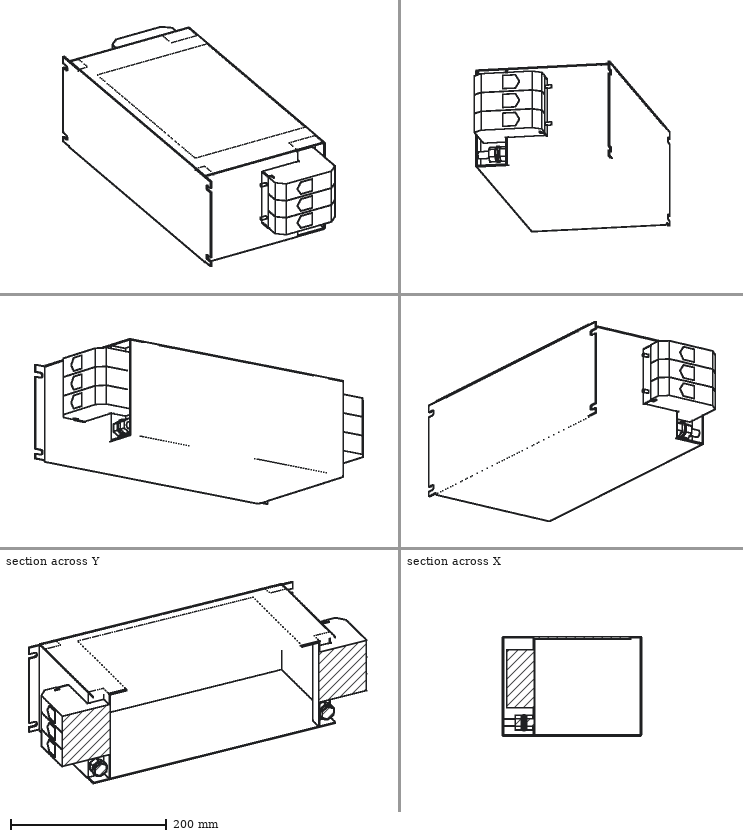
import cadquery as cq

LENGTH = 439.5
DEPTH = 180.0
HEIGHT = 129.0
SHEET = 2.0

CASING_LENGTH = 349.0
CASING_BEND = 2.5
LID_THICKNESS = 1.5
LID_UNDERSIDE = HEIGHT - LID_THICKNESS
LID_SETBACK = 1.0

PANEL_LENGTH = 380.5
SLOT_WIDTH = 6.5
SLOT_DEPTH = 11.5
SLOT_HEIGHTS = (12.5, 114.7)
FOLD_HALF_LENGTH = 151.0
FOLD_RADIUS = 1.8

WALL_OVERHANG = 1.5
WALL_OUTER = CASING_LENGTH / 2 + WALL_OVERHANG
WALL_STEP_Y = 140.2
WALL_BEND = 4.0
POCKET_WALL = 152.0

FLANGE_INNER_X = 126.5
FLANGE_DEPTH = 14.0

BLOCK_FRONT = 85.0
BLOCK_BACK = 174.0
BLOCK_BOTTOM = 37.0
TERMINAL_HEIGHT = 25.0
TERMINAL_COUNT = 3
BLOCK_HEIGHT = TERMINAL_COUNT * TERMINAL_HEIGHT
BLOCK_CHAMFER_X = 9.5
BLOCK_CHAMFER_Y = 11.0
SEAM = 0.2

ENTRY_BACK = 134.5
ENTRY_SHOULDER = 118.0
ENTRY_TIP = 112.5
ENTRY_HEIGHT = 17.5
ENTRY_DEPTH = 0.5

BRACKET_SHEET = 1.5
BRACKET_BOTTOM = BLOCK_BOTTOM - 1.0
BRACKET_TOP = BLOCK_BOTTOM + BLOCK_HEIGHT - 0.5
BRACKET_GAP = 0.5
BRACKET_BEND_X = 192.5
HOOK_TIP_X = 198.0
HOOK_Y = 91.0
PIN_X = 187.0
PIN_HEIGHTS = (49.5, 99.0)
PIN_DIAMETER = 4.0
PIN_LENGTH = 7.5

GLAND_X = 164.0
GLAND_Z = 18.0
CABLE_DIAMETER = 9.2
NUT_ACROSS_CORNERS = 19.5
COLLAR_DIAMETER = 20.5
CAP_NUT = (154.7, 163.0)
COLLAR = (151.0, 153.0)
BODY_NUT = (WALL_STEP_Y, 148.5)


def box(x, y, z):
    """Box between the given (low, high) limits on each axis."""
    size = [high - low for low, high in (x, y, z)]
    return cq.Workplane("XY").box(*size, centered=False).translate((x[0], y[0], z[0]))


def along_y(y_start, x, z):
    """Workplane at (x, y_start, z) whose extrusions run toward +Y."""
    return cq.Workplane(cq.Plane(origin=(x, y_start, z), xDir=(0, 0, 1), normal=(0, 1, 0)))


def make_casing():
    half = CASING_LENGTH / 2
    outer = box((-half, half), (0, DEPTH), (0, HEIGHT))
    outer = outer.edges("|X and >Y").fillet(CASING_BEND)
    outer = outer.edges("|X and <Y and <Z").fillet(CASING_BEND)
    inside = box((-half, half), (SHEET, DEPTH - SHEET), (SHEET, LID_UNDERSIDE))
    setback = box((-half, half), (0, LID_SETBACK), (LID_UNDERSIDE, HEIGHT))
    return outer.cut(inside).cut(setback)


def make_front_panel():
    half = PANEL_LENGTH / 2
    panel = box((-half, half), (0, SHEET), (CASING_BEND, LID_UNDERSIDE))
    for side in (-1, 1):
        for height in SLOT_HEIGHTS:
            slot = (
                along_y(0, side * half, height)
                .slot2D(2 * SLOT_DEPTH, SLOT_WIDTH, 90)
                .extrude(SHEET)
            )
            panel = panel.cut(slot)
    return panel


def make_fold_relief():
    """Sliver to cut off the panel's top edge so that it is rounded below the lid."""
    radius = FOLD_RADIUS
    return (
        cq.Workplane("YZ", origin=(-FOLD_HALF_LENGTH, 0, 0))
        .moveTo(0, LID_UNDERSIDE - radius)
        .radiusArc((radius, LID_UNDERSIDE), radius)
        .lineTo(0, LID_UNDERSIDE)
        .close()
        .extrude(2 * FOLD_HALF_LENGTH)
    )


def make_front_flange():
    half = FOLD_HALF_LENGTH
    return box((-half, half), (0, FLANGE_DEPTH), (LID_UNDERSIDE - SHEET, LID_UNDERSIDE))


def make_side_wall():
    """Wall at the +X end with its step, its pocket wall and its top flange."""
    back = DEPTH - SHEET
    inner_x = WALL_OUTER - SHEET
    heights = (SHEET, LID_UNDERSIDE)
    flange_heights = (LID_UNDERSIDE - SHEET, LID_UNDERSIDE)
    outer = box((POCKET_WALL, WALL_OUTER), (0, WALL_STEP_Y), (0, LID_UNDERSIDE))
    outer = outer.edges("|X and <Y and <Z").fillet(CASING_BEND)
    outer = outer.edges("|Z and >X and >Y").fillet(WALL_BEND)
    outer = outer.edges("|Y and >X").fillet(WALL_OVERHANG)
    inside = box((POCKET_WALL, inner_x), (0, WALL_STEP_Y - SHEET), (SHEET, LID_UNDERSIDE - SHEET))
    flange_relief = box((POCKET_WALL, inner_x), (SHEET, FLANGE_DEPTH), heights)
    wall = outer.cut(inside).cut(flange_relief)
    pocket_wall = box((POCKET_WALL - SHEET, POCKET_WALL), (WALL_STEP_Y - SHEET, back), heights)
    flange = box((FLANGE_INNER_X, POCKET_WALL), (FLANGE_DEPTH, back), flange_heights)
    return wall.union(pocket_wall).union(flange)


def make_terminal_block():
    """Block at the +X end with chamfered corners, a root in the pocket, seams and cable entries."""
    end = LENGTH / 2
    shoulder = end - BLOCK_CHAMFER_X

    def prism(inset, bottom, height):
        outline = [
            (WALL_OUTER, BLOCK_FRONT + inset),
            (shoulder, BLOCK_FRONT + inset),
            (end - inset, BLOCK_FRONT + BLOCK_CHAMFER_Y),
            (end - inset, BLOCK_BACK - BLOCK_CHAMFER_Y),
            (shoulder, BLOCK_BACK - inset),
            (WALL_OUTER, BLOCK_BACK - inset),
        ]
        return cq.Workplane("XY", origin=(0, 0, bottom)).polyline(outline).close().extrude(height)

    block = prism(0, BLOCK_BOTTOM, BLOCK_HEIGHT)
    block_heights = (BLOCK_BOTTOM, BLOCK_BOTTOM + BLOCK_HEIGHT)
    block = block.union(box((POCKET_WALL, WALL_OUTER), (WALL_STEP_Y, BLOCK_BACK), block_heights))
    for seam in range(1, TERMINAL_COUNT):
        bottom = BLOCK_BOTTOM + seam * TERMINAL_HEIGHT - SEAM / 2
        block = block.cut(prism(0, bottom, SEAM).cut(prism(SEAM, bottom, SEAM)))
    for index in range(TERMINAL_COUNT):
        middle = BLOCK_BOTTOM + (index + 0.5) * TERMINAL_HEIGHT
        low = middle - ENTRY_HEIGHT / 2
        high = middle + ENTRY_HEIGHT / 2
        entry = (
            cq.Workplane("YZ", origin=(end - ENTRY_DEPTH, 0, 0))
            .polyline([
                (ENTRY_BACK, low),
                (ENTRY_BACK, high),
                (ENTRY_SHOULDER, high),
                (ENTRY_TIP, middle),
                (ENTRY_SHOULDER, low),
            ])
            .close()
            .extrude(ENTRY_DEPTH)
        )
        block = block.cut(entry)
    return block


def make_bracket():
    """Hooked strip and pins at the +X end."""
    outer_x = BRACKET_BEND_X
    inner_x = BRACKET_BEND_X - BRACKET_SHEET
    heights = (BRACKET_BOTTOM, BRACKET_TOP)
    bracket = box((WALL_OUTER, outer_x), (BLOCK_FRONT, BLOCK_FRONT + BRACKET_SHEET), heights)
    bracket = bracket.union(box((inner_x, outer_x), (BLOCK_FRONT, HOOK_Y), heights))
    bracket = bracket.union(box((inner_x, HOOK_TIP_X), (HOOK_Y - BRACKET_SHEET, HOOK_Y), heights))
    for height in PIN_HEIGHTS:
        pin = along_y(BLOCK_FRONT - PIN_LENGTH, PIN_X, height).circle(PIN_DIAMETER / 2).extrude(PIN_LENGTH)
        bracket = bracket.union(pin)
    return bracket


def make_bracket_recess():
    """Room for the bracket and its hook in the block at the +X end."""
    heights = (BLOCK_BOTTOM, BLOCK_BOTTOM + BLOCK_HEIGHT)
    inner_x = BRACKET_BEND_X - BRACKET_SHEET
    outer_x = BRACKET_BEND_X + BRACKET_GAP
    corner = box((WALL_OUTER, outer_x), (BLOCK_FRONT, BLOCK_FRONT + BRACKET_SHEET), heights)
    web = box((inner_x, outer_x), (BLOCK_FRONT, HOOK_Y), heights)
    hook = box((BRACKET_BEND_X, HOOK_TIP_X), (HOOK_Y - BRACKET_SHEET, HOOK_Y), heights)
    return corner.union(web).union(hook)


def make_gland():
    """Cable, nuts and collar between the wall step and the back wall at the +X end."""
    cable_length = DEPTH - SHEET - WALL_STEP_Y
    gland = along_y(WALL_STEP_Y, GLAND_X, GLAND_Z).circle(CABLE_DIAMETER / 2).extrude(cable_length)
    for start, stop in (CAP_NUT, BODY_NUT):
        nut = along_y(start, GLAND_X, GLAND_Z).polygon(6, NUT_ACROSS_CORNERS).extrude(stop - start)
        gland = gland.union(nut)
    start, stop = COLLAR
    collar = along_y(start, GLAND_X, GLAND_Z).circle(COLLAR_DIAMETER / 2).extrude(stop - start)
    return gland.union(collar)


def make_end():
    """Everything at the +X end."""
    block = make_terminal_block().cut(make_bracket_recess())
    return make_side_wall().union(block).union(make_bracket()).union(make_gland())


end_parts = make_end()
base = make_casing().union(make_front_panel()).union(make_front_flange()).cut(make_fold_relief())
result = base.union(end_parts).union(end_parts.mirror("YZ"))